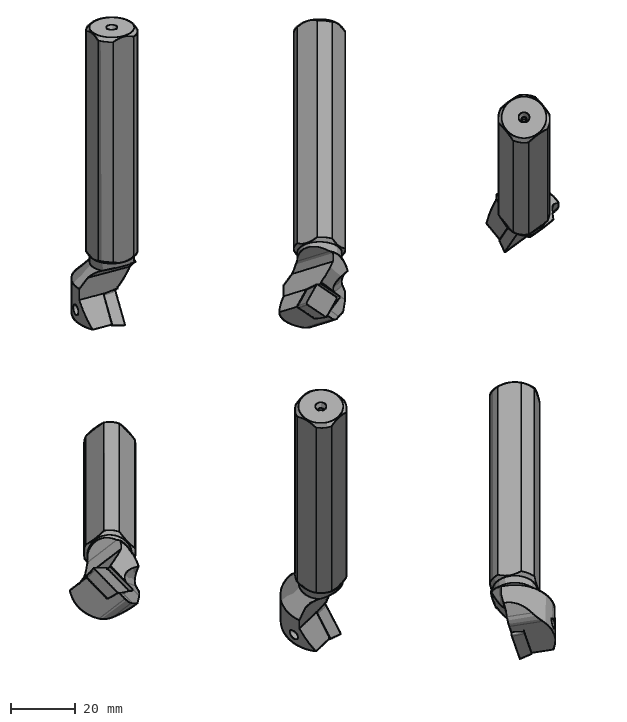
import cadquery as cq
import math

TOTAL_LENGTH = 100.0

SHANK_RADIUS = 8.0
FLAT_DISTANCE = 7.1
SHANK_BOTTOM = 21.7
SHANK_CHAMFER = 1.1

CENTRE_RADIUS = 1.7
PILOT_RADIUS = 0.8
PILOT_DEPTH = 2.0
CENTRE_HALF_ANGLE = 30.0
PILOT_TIP_HALF_ANGLE = 59.0

NECK_RADIUS = SHANK_RADIUS - SHANK_CHAMFER
NECK_BOTTOM = 18.9
HEAD_RADIUS = 12.5
CONE_BOTTOM = 13.2

HEEL_TOP = 6.4
HEEL_CORNER_X = -8.7
HEEL_FILLET = 4.0
SOLE_LEFT_Z = 1.6
NOSE_X = 6.5
NOSE_Z = 0.9

WALL_X = 1.3
WALL_BOTTOM = 9.4
WALL_TOP = 16.3
ROOF_ARC_MIDDLE = (2.2, 17.7)
ROOF_ARC_END = (3.7, 18.8)
ROOF_END = (7.2, 20.5)

INSERT_FACE_Y = 0.2
RAKE_BOTTOM = (INSERT_FACE_Y, 4.0)
RAKE_TOP = (1.4, 10.3)
GULLY_MIDDLE = (4.7, 14.5)
GULLY_END = (7.0, 19.0)

RUNOUT_Z = 16.6
RUNOUT_FLOOR_Y = 1.4
RUNOUT_START_X = -12.5
RUNOUT_MIDDLE = (-9.5, 2.5)
RUNOUT_END = (-6.9, 5.8)
RUNOUT_RISE = 3.0
RUNOUT_DROP = 10.0

SCREW_HOLE_RADIUS = 1.7

INSERT_SIDE = 11.6
INSERT_ANGLE = 55.0
INSERT_THICKNESS = 4.0
INSERT_CLEARANCE = 7.0
INSERT_LEAD_ANGLE = 2.5
INSERT_CORNER_RADIUS = 0.4
TIP_X = 7.7

REACH = 20.0


def tan(degrees):
    return math.tan(math.radians(degrees))


def polar(radius, degrees):
    angle = math.radians(degrees)
    return (radius * math.cos(angle), radius * math.sin(angle))


def make_shank():
    length = TOTAL_LENGTH - SHANK_BOTTOM
    round_bar = (
        cq.Workplane("XY", origin=(0, 0, SHANK_BOTTOM))
        .circle(SHANK_RADIUS)
        .extrude(length)
        .faces("<Z or >Z")
        .chamfer(SHANK_CHAMFER)
    )
    flats = cq.Workplane("XY", origin=(0, 0, SHANK_BOTTOM)).rect(2 * FLAT_DISTANCE, 2 * FLAT_DISTANCE)
    return round_bar.intersect(flats.extrude(length))


def make_centre_hole():
    cone_bottom = TOTAL_LENGTH - (CENTRE_RADIUS - PILOT_RADIUS) / tan(CENTRE_HALF_ANGLE)
    pilot_bottom = cone_bottom - PILOT_DEPTH
    pilot_tip = pilot_bottom - PILOT_RADIUS / tan(PILOT_TIP_HALF_ANGLE)
    return (
        cq.Workplane("XZ")
        .moveTo(0, TOTAL_LENGTH)
        .lineTo(CENTRE_RADIUS, TOTAL_LENGTH)
        .lineTo(PILOT_RADIUS, cone_bottom)
        .lineTo(PILOT_RADIUS, pilot_bottom)
        .lineTo(0, pilot_tip)
        .close()
        .revolve()
    )


def make_turned_head():
    """Neck, cone and head cylinder as one turned blank."""
    return (
        cq.Workplane("XZ")
        .moveTo(0, 0)
        .lineTo(HEAD_RADIUS, 0)
        .lineTo(HEAD_RADIUS, CONE_BOTTOM)
        .lineTo(NECK_RADIUS, NECK_BOTTOM)
        .lineTo(NECK_RADIUS, SHANK_BOTTOM)
        .lineTo(0, SHANK_BOTTOM)
        .close()
        .revolve()
    )


def make_head_outline():
    """Prism along Y holding the sole, the heel, the nose and the side relief of the head."""
    return (
        cq.Workplane("XZ")
        .moveTo(-HEAD_RADIUS, HEEL_TOP)
        .lineTo(HEEL_CORNER_X, SOLE_LEFT_Z)
        .lineTo(NOSE_X, NOSE_Z)
        .lineTo(WALL_X, WALL_BOTTOM)
        .lineTo(WALL_X, WALL_TOP)
        .threePointArc(ROOF_ARC_MIDDLE, ROOF_ARC_END)
        .lineTo(*ROOF_END)
        .lineTo(ROOF_END[0], SHANK_BOTTOM)
        .lineTo(-HEAD_RADIUS, SHANK_BOTTOM)
        .close()
        .extrude(REACH, both=True)
        .edges(cq.selectors.NearestToPointSelector((HEEL_CORNER_X, 0, SOLE_LEFT_Z)))
        .fillet(HEEL_FILLET)
    )


def make_gully():
    """Space on the +Y side of the rake face, with a rounded roof, running along X."""
    return (
        cq.Workplane("YZ")
        .moveTo(INSERT_FACE_Y, 0)
        .lineTo(*RAKE_BOTTOM)
        .lineTo(*RAKE_TOP)
        .threePointArc(GULLY_MIDDLE, GULLY_END)
        .lineTo(REACH, GULLY_END[1])
        .lineTo(REACH, 0)
        .close()
        .extrude(REACH, both=True)
    )


def make_runout():
    """Curved wall at the -X end of the gully, leaning 45 degrees towards +X as it goes down."""
    top_z = RUNOUT_Z + RUNOUT_RISE
    height = RUNOUT_RISE + RUNOUT_DROP
    section = (
        cq.Workplane("XY", origin=(-RUNOUT_RISE, 0, top_z))
        .moveTo(RUNOUT_START_X, RUNOUT_FLOOR_Y)
        .threePointArc(RUNOUT_MIDDLE, RUNOUT_END)
        .lineTo(RUNOUT_END[0], REACH)
        .lineTo(-2 * REACH, REACH)
        .lineTo(-2 * REACH, RUNOUT_FLOOR_Y)
        .close()
    )
    lean = cq.Vector(height, 0, -height)
    return cq.Workplane(cq.Solid.extrudeLinear(section.val(), [], lean))


def insert_corners():
    """Sharp (X, Z) corners of the insert, starting at the cutting tip."""
    lower_angle = 180 - INSERT_LEAD_ANGLE
    upper_angle = lower_angle - INSERT_ANGLE
    round_distance = INSERT_CORNER_RADIUS / math.sin(math.radians(INSERT_ANGLE / 2))
    round_x, round_z = polar(round_distance, (lower_angle + upper_angle) / 2)
    tip_x = TIP_X - INSERT_CORNER_RADIUS - round_x
    tip_z = INSERT_CORNER_RADIUS - round_z
    upper_x, upper_z = polar(INSERT_SIDE, upper_angle)
    lower_x, lower_z = polar(INSERT_SIDE, lower_angle)
    return [
        (tip_x, tip_z),
        (tip_x + upper_x, tip_z + upper_z),
        (tip_x + upper_x + lower_x, tip_z + upper_z + lower_z),
        (tip_x + lower_x, tip_z + lower_z),
    ]


def make_insert():
    """Rhombic plate with rounded corners, tapering as it goes into the head."""
    return (
        cq.Workplane("XZ", origin=(0, INSERT_FACE_Y, 0))
        .polyline(insert_corners())
        .close()
        .extrude(INSERT_THICKNESS, taper=INSERT_CLEARANCE)
        .edges("not #Y")
        .fillet(INSERT_CORNER_RADIUS)
    )


def make_screw_hole():
    """Hole on the insert's centre, from its back face out through the front of the head."""
    tip, _, far_corner, _ = insert_corners()
    centre_x = (tip[0] + far_corner[0]) / 2
    centre_z = (tip[1] + far_corner[1]) / 2
    return (
        cq.Workplane("XZ", origin=(centre_x, INSERT_FACE_Y - INSERT_THICKNESS, centre_z))
        .circle(SCREW_HOLE_RADIUS)
        .extrude(REACH)
    )


def make_pocket_opening(insert):
    """Prism that clears the head material on the +Y side of the insert."""
    return insert.faces(">Y").wires().toPending().extrude(-REACH, combine=False)


def make_bar(insert):
    head = make_turned_head().intersect(make_head_outline())
    head = head.cut(make_gully()).cut(make_runout()).cut(make_screw_hole())
    head = head.cut(make_pocket_opening(insert)).cut(insert)
    return make_shank().cut(make_centre_hole()).union(head)


insert = make_insert()
bar = make_bar(insert)

result = cq.Compound.makeCompound([bar.val(), insert.val()])